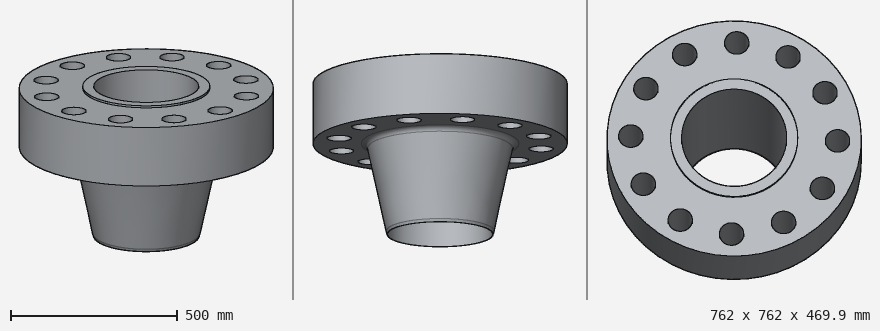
import cadquery as cq

flange_diameter = 762.0
flange_thickness = 184.15

face_diameter = 381.0
face_height = 6.35

overall_height = 469.9
hub_diameter = 441.3
neck_end_diameter = 323.85
neck_tip_diameter = 317.9
bevel_length = 9.0
hub_fillet_radius = 19.05

bore_diameter = 314.7
bolt_count = 12
bolt_circle_diameter = 619.125
bolt_hole_diameter = 73.0

flange_top = overall_height - face_height
flange_bottom = flange_top - flange_thickness
hub_radius = hub_diameter / 2
neck_end_radius = neck_end_diameter / 2
neck_tip_radius = neck_tip_diameter / 2


def make_body():
    """Solid of revolution: bevelled neck, flange disc and raised face."""
    profile = (
        cq.Workplane("XZ")
        .moveTo(0, 0)
        .lineTo(neck_tip_radius, 0)
        .lineTo(neck_end_radius, bevel_length)
        .lineTo(hub_radius, flange_bottom)
        .lineTo(flange_diameter / 2, flange_bottom)
        .lineTo(flange_diameter / 2, flange_top)
        .lineTo(face_diameter / 2, flange_top)
        .lineTo(face_diameter / 2, overall_height)
        .lineTo(0, overall_height)
        .close()
    )
    return profile.revolve(360, (0, 0, 0), (0, 1, 0))


def round_hub_root(body):
    """Fillet the corner between the neck and the underside of the flange."""
    margin = 1.0
    reach = hub_radius + margin
    root_edge = cq.selectors.BoxSelector(
        (-reach, -reach, flange_bottom - margin),
        (reach, reach, flange_bottom + margin),
        boundingbox=True,
    )
    return body.edges(root_edge).fillet(hub_fillet_radius)


def cut_bore(body):
    """Straight bore through the full height."""
    bore = cq.Workplane("XY").circle(bore_diameter / 2).extrude(overall_height)
    return body.cut(bore)


def cut_bolt_holes(body):
    """Through holes evenly spaced on the bolt circle, the first on +X."""
    holes = (
        cq.Workplane("XY", origin=(0, 0, flange_bottom))
        .polarArray(bolt_circle_diameter / 2, 0, 360, bolt_count)
        .circle(bolt_hole_diameter / 2)
        .extrude(flange_thickness)
    )
    return body.cut(holes)


result = cut_bolt_holes(cut_bore(round_hub_root(make_body())))